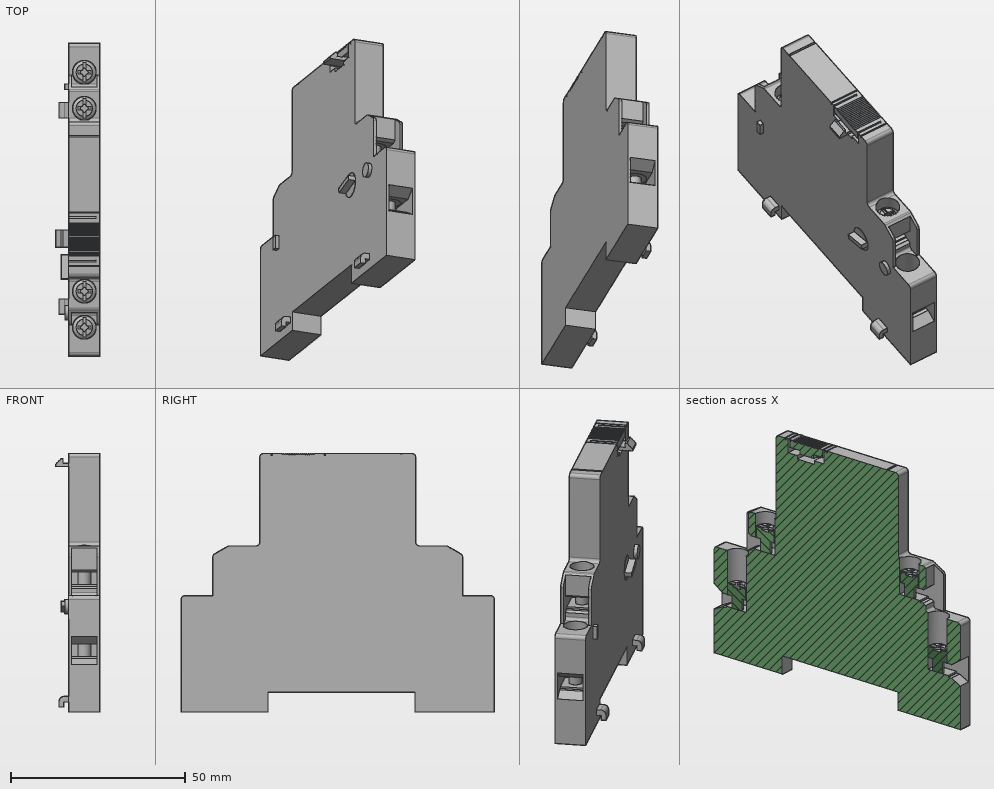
import cadquery as cq
import math

LENGTH = 90.0
THICKNESS = 9.0
HEIGHT = 74.3
MID_Y = LENGTH / 2
LOW_SHELF_Z = 33.5
HIGH_SHELF_Z = 47.8
HIGH_STEP_Y = 9.1
TOWER_Y = 22.6
BEVEL_START_Z = 45.2
BEVEL_RUN = 4.5
RAIL_NOTCH_START_Y = 25.0
RAIL_NOTCH_END_Y = 67.1
RAIL_NOTCH_DEPTH = 5.7
CORNER_RADIUS = 1.1

SCREW_Y = 8.4
UPPER_SHIFT_Y = 10.35
UPPER_SHIFT_Z = 20.7
WALL = 0.8
MOUTH_BOTTOM_Z = 13.8
MOUTH_TOP_Z = 21.8
FUNNEL_DEPTH = 3.2
FUNNEL_BOTTOM_Z = 15.4
CHAMBER_START_Y = 4.3
CHAMBER_BOTTOM_Z = 15.9
CHAMBER_TOP_Z = 19.5
BORE_RADIUS = 3.4
OPEN_FRONT_WALL_Y = 12.6
OPEN_FRONT_FILLET = 0.9

HEAD_RADIUS = 3.3
HEAD_TOP_Z = 23.85
HEAD_FLAT_RADIUS = 2.3
HEAD_EDGE_DROP = 0.6
SHANK_RADIUS = 1.9
SLOT_WIDTH = 0.9
SLOT_LENGTH = 5.6
CROSS_SLOT_LENGTH = 3.8
SLOT_DEPTH = 0.7
SOCKET_SIDE = 1.8
SOCKET_DEPTH = 1.35

TONGUE_START_Y = 27.6
TONGUE_END_Y = 39.7
TONGUE_BOTTOM_Z = 71.7
TONGUE_GAP = 0.45
POCKET_DEPTH = 7.8
POCKET_BOTTOM_Z = 70.0
RELIEF_START_Y = 30.5
RELIEF_END_Y = 36.6
RELIEF_BOTTOM_Z = 68.9
LATCH_START_Y = 31.3
LATCH_WIDTH = 5.0
LATCH_BOTTOM_Z = 70.6
LATCH_STEM_TOP_Z = 71.55
LATCH_LIP_TOP_Z = 71.2
LATCH_REACH = 3.8
LATCH_CATCH_X = -1.6
LATCH_RISE = 1.6

GRIP_START_Y = 28.9
GRIP_COUNT = 16
GRIP_PITCH = 0.59
GRIP_DEPTH = 0.4
MARK_WIDTH = 0.3
MARK_DEPTH = 0.5
MARK_YS = (26.0, 41.3)
REAR_MARK_Y = 63.3
REAR_MARK_WIDTH = 0.5
REAR_MARK_DEPTH = 0.1

FEATURE_Z = 30.3
ROTOR_Y = 25.65
ROTOR_RADIUS = 3.6
ROTOR_RISE = 0.1
BLADE_WIDTH = 1.4
BLADE_REACH = 2.2
BLADE_ANGLE = -14.0
PEG_Y = 12.5
PEG_RADIUS = 2.1
PEG_REACH = 1.1
TAB_Y = 77.5
TAB_WIDTH = 1.6
TAB_HEIGHT = 4.0
TAB_REACH = 1.2
HOOK_YS = (14.3, 70.7)
HOOK_WIDTH = 4.5
HOOK_REACH = 2.8
HOOK_TOP_Z = 4.6
HOOK_STEM_BOTTOM_Z = 2.9
HOOK_TIP_Z = 1.4
HOOK_INNER_X = -1.35
HOOK_ROUND = 1.5


def box(x0, x1, y0, y1, z0, z1):
    return cq.Workplane("XY").box(x1 - x0, y1 - y0, z1 - z0, centered=False).translate((x0, y0, z0))


def both_ends(shape):
    """The shape together with its mirror image at the other end of the housing."""
    return shape.union(shape.mirror("XZ", (0, MID_Y, 0)))


def plate():
    front = [
        (0, 0),
        (0, LOW_SHELF_Z),
        (HIGH_STEP_Y, LOW_SHELF_Z),
        (HIGH_STEP_Y, BEVEL_START_Z),
        (HIGH_STEP_Y + BEVEL_RUN, HIGH_SHELF_Z),
        (TOWER_Y, HIGH_SHELF_Z),
        (TOWER_Y, HEIGHT),
    ]
    rear = [(LENGTH - y, z) for y, z in reversed(front)]
    body = cq.Workplane("YZ").polyline(front + rear).close().extrude(THICKNESS)
    body = body.cut(box(0, THICKNESS, RAIL_NOTCH_START_Y, RAIL_NOTCH_END_Y, 0, RAIL_NOTCH_DEPTH))
    rounded = [
        (0, LOW_SHELF_Z),
        (HIGH_STEP_Y, BEVEL_START_Z),
        (HIGH_STEP_Y + BEVEL_RUN, HIGH_SHELF_Z),
        (TOWER_Y, HIGH_SHELF_Z),
        (TOWER_Y, HEIGHT),
    ]
    for y, z in rounded:
        for corner_y in (y, LENGTH - y):
            corner = cq.selectors.NearestToPointSelector((THICKNESS / 2, corner_y, z))
            body = body.edges("|X").edges(corner).fillet(CORNER_RADIUS)
    return body


def terminal_cavity(shelf_z):
    """Wire funnel, clamp chamber and screw bore of the lower front terminal."""
    funnel = (
        cq.Workplane("YZ", origin=(WALL, 0, 0))
        .polyline([
            (0, MOUTH_BOTTOM_Z),
            (FUNNEL_DEPTH, FUNNEL_BOTTOM_Z),
            (CHAMBER_START_Y, FUNNEL_BOTTOM_Z),
            (CHAMBER_START_Y, CHAMBER_TOP_Z),
            (FUNNEL_DEPTH, CHAMBER_TOP_Z),
            (0, MOUTH_TOP_Z),
        ])
        .close()
        .extrude(THICKNESS - 2 * WALL)
    )
    chamber = box(
        WALL, THICKNESS - WALL, CHAMBER_START_Y, SCREW_Y + BORE_RADIUS, CHAMBER_BOTTOM_Z, CHAMBER_TOP_Z
    )
    bore = (
        cq.Workplane("XY", origin=(THICKNESS / 2, SCREW_Y, CHAMBER_BOTTOM_Z))
        .circle(BORE_RADIUS)
        .extrude(shelf_z + CORNER_RADIUS - CHAMBER_BOTTOM_Z)
    )
    return funnel.union(chamber).union(bore)


def open_front():
    """Space between the side walls of the upper step, with a rounded foot at its back wall."""
    space = box(WALL, THICKNESS - WALL, 0, OPEN_FRONT_WALL_Y, LOW_SHELF_Z, HIGH_SHELF_Z)
    return space.edges("|X and >Y and <Z").fillet(OPEN_FRONT_FILLET)


def tongue_pocket():
    """Pocket around and below the push tongue, open to the -X face and the top."""
    pocket = box(
        0, POCKET_DEPTH, TONGUE_START_Y - TONGUE_GAP, TONGUE_END_Y + TONGUE_GAP, POCKET_BOTTOM_Z, HEIGHT
    )
    relief = box(0, POCKET_DEPTH, RELIEF_START_Y, RELIEF_END_Y, RELIEF_BOTTOM_Z, POCKET_BOTTOM_Z)
    tongue = box(0, POCKET_DEPTH, TONGUE_START_Y, TONGUE_END_Y, TONGUE_BOTTOM_Z, HEIGHT)
    return pocket.union(relief).cut(tongue)


def top_groove(centre_y, width, depth):
    return box(0, THICKNESS, centre_y - width / 2, centre_y + width / 2, HEIGHT - depth, HEIGHT)


def grip_groove(start_y):
    """V-shaped groove; side by side these make a row of sharp teeth."""
    return (
        cq.Workplane("YZ")
        .moveTo(start_y, HEIGHT)
        .lineTo(start_y + GRIP_PITCH / 2, HEIGHT - GRIP_DEPTH)
        .lineTo(start_y + GRIP_PITCH, HEIGHT)
        .close()
        .extrude(THICKNESS)
    )


def latch():
    """Barbed latch that hangs from the tongue and reaches out of the -X face."""
    ramp_end_x = LATCH_RISE - LATCH_REACH
    barb = (
        cq.Workplane("XZ", origin=(0, LATCH_START_Y, 0))
        .polyline([
            (0, LATCH_BOTTOM_Z),
            (-LATCH_REACH, LATCH_BOTTOM_Z),
            (-LATCH_REACH, LATCH_LIP_TOP_Z),
            (ramp_end_x, LATCH_LIP_TOP_Z + LATCH_RISE),
            (LATCH_CATCH_X, LATCH_LIP_TOP_Z + LATCH_RISE),
            (LATCH_CATCH_X, LATCH_STEM_TOP_Z),
            (0, LATCH_STEM_TOP_Z),
        ])
        .close()
        .extrude(-LATCH_WIDTH)
    )
    root = box(
        0, POCKET_DEPTH, LATCH_START_Y, LATCH_START_Y + LATCH_WIDTH, LATCH_BOTTOM_Z, TONGUE_BOTTOM_Z
    )
    return barb.union(root)


def rail_hook(centre_y):
    arc_offset = HOOK_ROUND * (1 - math.sqrt(0.5))
    return (
        cq.Workplane("XZ", origin=(0, centre_y - HOOK_WIDTH / 2, 0))
        .moveTo(0, HOOK_TOP_Z)
        .lineTo(HOOK_ROUND - HOOK_REACH, HOOK_TOP_Z)
        .threePointArc(
            (arc_offset - HOOK_REACH, HOOK_TOP_Z - arc_offset),
            (-HOOK_REACH, HOOK_TOP_Z - HOOK_ROUND),
        )
        .lineTo(-HOOK_REACH, HOOK_TIP_Z)
        .lineTo(HOOK_INNER_X, HOOK_TIP_Z)
        .lineTo(HOOK_INNER_X, HOOK_STEM_BOTTOM_Z)
        .lineTo(0, HOOK_STEM_BOTTOM_Z)
        .close()
        .extrude(-HOOK_WIDTH)
    )


def side_disc(centre_y, radius, reach):
    return cq.Workplane("YZ", origin=(0, centre_y, FEATURE_Z)).circle(radius).extrude(-reach)


def rotor_blade():
    """Slanted blade, as long as the diameter of the rotor and rounded with it at the ends."""
    bar = (
        cq.Workplane("YZ", origin=(0, ROTOR_Y, FEATURE_Z))
        .transformed(rotate=(0, 0, BLADE_ANGLE))
        .rect(2 * ROTOR_RADIUS, BLADE_WIDTH)
        .extrude(-BLADE_REACH)
    )
    return bar.intersect(side_disc(ROTOR_Y, ROTOR_RADIUS, BLADE_REACH))


def side_tab():
    return box(
        -TAB_REACH, 0, TAB_Y - TAB_WIDTH / 2, TAB_Y + TAB_WIDTH / 2,
        FEATURE_Z - TAB_HEIGHT / 2, FEATURE_Z + TAB_HEIGHT / 2,
    )


def make_housing():
    lower_cavity = terminal_cavity(LOW_SHELF_Z)
    upper_cavity = terminal_cavity(HIGH_SHELF_Z - UPPER_SHIFT_Z).translate((0, UPPER_SHIFT_Y, UPPER_SHIFT_Z))
    body = plate()
    for cavity in (lower_cavity, upper_cavity, open_front()):
        body = body.cut(both_ends(cavity))
    body = body.cut(tongue_pocket())
    for index in range(GRIP_COUNT):
        body = body.cut(grip_groove(GRIP_START_Y + index * GRIP_PITCH))
    for mark_y in MARK_YS:
        body = body.cut(top_groove(mark_y, MARK_WIDTH, MARK_DEPTH))
    body = body.cut(top_groove(REAR_MARK_Y, REAR_MARK_WIDTH, REAR_MARK_DEPTH))
    body = body.union(latch()).union(rotor_blade()).union(side_tab())
    body = body.union(side_disc(ROTOR_Y, ROTOR_RADIUS, ROTOR_RISE))
    body = body.union(side_disc(PEG_Y, PEG_RADIUS, PEG_REACH))
    for hook_y in HOOK_YS:
        body = body.union(rail_hook(hook_y))
    return body


def make_screw(centre_y, rise):
    """Cross-slotted screw standing on the chamber floor; rise lifts it to the upper terminals."""
    top = cq.Workplane("XY", origin=(0, 0, HEAD_TOP_Z))
    shank = (
        cq.Workplane("XY", origin=(0, 0, CHAMBER_BOTTOM_Z))
        .circle(SHANK_RADIUS)
        .extrude(CHAMBER_TOP_Z - CHAMBER_BOTTOM_Z)
    )
    head = top.circle(HEAD_RADIUS).extrude(CHAMBER_TOP_Z - HEAD_TOP_Z)
    head = head.faces(">Z").chamfer(HEAD_EDGE_DROP, HEAD_RADIUS - HEAD_FLAT_RADIUS)
    slots = top.rect(SLOT_WIDTH, SLOT_LENGTH).extrude(-SLOT_DEPTH)
    slots = slots.union(top.rect(CROSS_SLOT_LENGTH, SLOT_WIDTH).extrude(-SLOT_DEPTH))
    socket = top.transformed(rotate=(0, 0, 45)).rect(SOCKET_SIDE, SOCKET_SIDE).extrude(-SOCKET_DEPTH)
    screw = shank.union(head).cut(slots).cut(socket)
    return screw.translate((THICKNESS / 2, centre_y, rise))


housing = make_housing()
screws = []
for shift_y, rise in ((0, 0), (UPPER_SHIFT_Y, UPPER_SHIFT_Z)):
    front_y = SCREW_Y + shift_y
    for screw_y in (front_y, LENGTH - front_y):
        screws.append(make_screw(screw_y, rise).val())

result = cq.Compound.makeCompound([housing.val(), *screws])